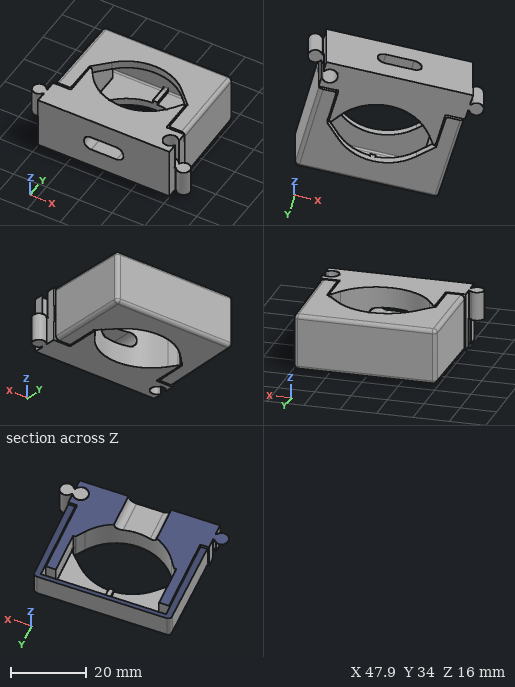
import cadquery as cq
import math


overall_width = 47.9
depth = 16.0
mid_z = depth / 2
bore_radius = 15.0
overshoot = 4.8
margin = 0.5

base_width = 40.05
base_half = base_width / 2
shoulder_y = 8.0
tongue_half = 14.7
horn_y = 17.85
base_bore_y = 9.05
base_flank_angle = 55.0
notch_draft = 1.0
notch_corner_radius = 0.3
horn_radius = 0.4

arm_inner_x = 14.6
arm_outer_x = 17.55
arm_end_y = 29.95
arm_height = 10.65

screw_slot_length = 12.0
screw_slot_width = 4.3

knob_y = 4.0
knob_radius = 1.95
knob_neck_half = 0.95
knob_x = overall_width / 2 - knob_radius
socket_radius = 2.1
socket_neck_half = 1.1
socket_x = 18.0

cap_width = 39.6
cap_start_y = 8.5
cap_end_y = 34.0
cap_length = cap_end_y - cap_start_y
cap_draft = 0.5
cap_edge_radius = 1.1
cap_bore_y = 27.0
throat_half = 14.9
leg_tip_radius = 0.5

plate_thickness = 2.5
cavity_half = 17.7
cavity_end_y = 32.65
cavity_corner_radius = 0.5

rib_width = 1.45
rib_height = 0.8


def keyhole(center_x, radius, neck_half, side):
    """Z prism of full depth: a round lobe whose 45 degree flanks run into a neck ending at the base side."""
    tangent = radius * math.sqrt(0.5)
    neck_start = 2 * tangent - neck_half
    neck_end = abs(base_half - abs(center_x))
    lobe = cq.Workplane("XY").center(center_x, knob_y).circle(radius).extrude(depth)
    neck = (
        cq.Workplane("XY")
        .center(center_x, knob_y)
        .polyline([
            (0, 0),
            (side * tangent, tangent),
            (side * neck_start, neck_half),
            (side * neck_end, neck_half),
            (side * neck_end, -neck_half),
            (side * neck_start, -neck_half),
            (side * tangent, -tangent),
        ])
        .close()
        .extrude(depth)
    )
    return lobe.union(neck)


def half_depth(shape, upper):
    """Keep only the upper or lower half of a shape along Z."""
    start_z = mid_z if upper else 0
    keeper = cq.Workplane("XY", origin=(0, 0, start_z)).box(
        2 * overall_width, 2 * overall_width, mid_z, centered=(True, True, False)
    )
    return shape.intersect(keeper)


def shoulder_notch(side):
    """Space beside the tongue where a cap leg sits, flaring from mid depth toward both ends."""
    flare = mid_z * math.tan(math.radians(notch_draft))
    notch_width = base_half + overshoot - tongue_half + 2 * flare
    notch_height = horn_y + overshoot - shoulder_y + 2 * flare
    center_x = side * (tongue_half - flare + notch_width / 2)
    center_y = shoulder_y - flare + notch_height / 2
    lower_half = (
        cq.Workplane("XY")
        .center(center_x, center_y)
        .sketch()
        .rect(notch_width, notch_height)
        .vertices()
        .fillet(notch_corner_radius)
        .finalize()
        .extrude(mid_z, taper=notch_draft)
    )
    upper_half = lower_half.mirror("XY", (0, 0, mid_z))
    return lower_half.union(upper_half)


def base_bore():
    """Bore trough with straight tangent flanks rising to the tips of the tongue horns."""
    flank_angle = math.radians(base_flank_angle)
    tangent_x = bore_radius * math.sin(flank_angle)
    tangent_y = base_bore_y + bore_radius * (1 - math.cos(flank_angle))
    tip_x = tangent_x + (horn_y - tangent_y) / math.tan(flank_angle)
    return (
        cq.Workplane("XY")
        .moveTo(-tip_x, horn_y)
        .lineTo(-tangent_x, tangent_y)
        .threePointArc((0, base_bore_y), (tangent_x, tangent_y))
        .lineTo(tip_x, horn_y)
        .close()
        .extrude(depth)
    )


def make_base():
    base = cq.Workplane("XY").box(base_width, horn_y, depth, centered=(True, False, False))
    base = base.cut(base_bore())
    horn_edges = cq.selectors.BoxSelector(
        (-tongue_half, horn_y - margin, 0), (tongue_half, horn_y + margin, depth)
    )
    base = base.edges("|Z").edges(horn_edges).fillet(horn_radius)

    for side in (-1, 1):
        base = base.cut(shoulder_notch(side))

        arm = cq.Workplane("XY").box(
            arm_outer_x - arm_inner_x, arm_end_y, arm_height, centered=(True, False, True)
        ).translate((side * (arm_inner_x + arm_outer_x) / 2, 0, mid_z))
        base = base.union(arm)

        knob_is_upper = side < 0
        socket = keyhole(side * socket_x, socket_radius, socket_neck_half, side)
        base = base.cut(half_depth(socket, not knob_is_upper))
        knob = keyhole(side * knob_x, knob_radius, knob_neck_half, -side)
        base = base.union(half_depth(knob, knob_is_upper))

    screw_slot = (
        cq.Workplane("XZ", origin=(0, 0, mid_z))
        .slot2D(screw_slot_length, screw_slot_width)
        .extrude(-base_bore_y - overshoot)
    )
    return base.cut(screw_slot)


def cap_opening():
    """Bore arch with tangent 45 degree flanks, continued as a slightly flared throat for the tongue."""
    tangent_x = bore_radius * math.sqrt(0.5)
    tangent_y = cap_bore_y - bore_radius + tangent_x
    throat_y = tangent_y - (throat_half - tangent_x)
    mouth_half = throat_half + (throat_y - cap_start_y) * math.tan(math.radians(cap_draft))
    return (
        cq.Workplane("XY")
        .moveTo(-mouth_half, cap_start_y)
        .lineTo(-throat_half, throat_y)
        .lineTo(-tangent_x, tangent_y)
        .threePointArc((0, cap_bore_y), (tangent_x, tangent_y))
        .lineTo(throat_half, throat_y)
        .lineTo(mouth_half, cap_start_y)
        .close()
        .extrude(depth)
    )


def make_cap():
    start_plane = cq.Plane(origin=(0, cap_start_y, mid_z), xDir=(1, 0, 0), normal=(0, 1, 0))
    shell = cq.Workplane(start_plane).rect(cap_width, depth).extrude(cap_length, taper=cap_draft)
    shell = shell.edges("not(<Y)").fillet(cap_edge_radius)
    shell = shell.cut(cap_opening())
    leg_tips = cq.selectors.BoxSelector(
        (-throat_half - margin, cap_start_y - margin, 0),
        (throat_half + margin, cap_start_y + margin, depth),
    )
    shell = shell.edges("|Z").edges(leg_tips).fillet(leg_tip_radius)

    cavity_length = cavity_end_y - cap_start_y
    cavity_height = depth - 2 * plate_thickness
    cavity = (
        cq.Workplane(start_plane)
        .rect(2 * cavity_half, cavity_height)
        .extrude(cavity_length)
    )
    rib_space = cq.Workplane("XY", origin=(0, cap_start_y, plate_thickness)).box(
        rib_width, cavity_length, rib_height, centered=(True, False, False)
    )
    cavity = cavity.cut(rib_space)
    cavity = cavity.faces(">Y").edges("|X").fillet(cavity_corner_radius)
    return shell.cut(cavity)


base = make_base()
cap = make_cap()
result = cq.Compound.makeCompound([base.val(), cap.val()])